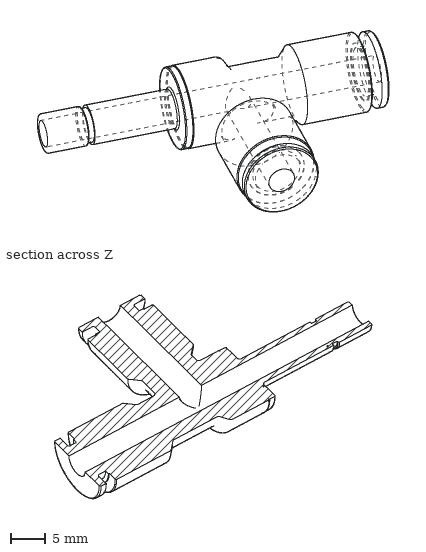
import cadquery as cq


port_reach = 22.2
flange_diameter = 11.5
flange_thickness = 1.15
flange_chamfer = 0.2
neck_diameter = 7.3
neck_fillet = 0.25
neck_end = 2.55
step_diameter = 8.7
step_end = 2.7
body_diameter = 12.0
body_chamfer = 0.15
body_end = 12.75
stem_diameter = 9.0
shoulder_fillet = 0.3
shoulder_top = port_reach - body_end
shoulder_bottom = shoulder_top - (body_diameter - stem_diameter) / 2
stem_end = shoulder_bottom - shoulder_fillet

collar_diameter = 12.5
collar_cone_top = -0.25
collar_cone_drop = 1.1
collar_rim_fillet = 0.7
collar_neck_fillet = 0.5
collar_bottom = -8.25
junction_fillet = 0.4
crease_margin = 0.25

cap_diameter = 12.4
cap_bottom = -9.5
cap_chamfer = 0.15

tube_diameter = 5.95
overall_length = 51.7
tube_tip = port_reach - overall_length
tube_tip_fillet = 0.25
tube_root_chamfer = 0.25
groove_diameter = 5.2
groove_top = -22.5
groove_bottom = -23.35
groove_chamfer = 0.15

bore_diameter = 4.0


def disc(diameter, low, high):
    """Solid cylinder on the Y axis between two heights."""
    return cq.Workplane("XZ", origin=(0, low, 0)).circle(diameter / 2).extrude(low - high)


def turned(points, rounds=()):
    """Solid of revolution about Y from (radius, height) points.

    Each entry of rounds is a (profile point, radius) pair that rounds that corner.
    """
    wire = cq.Wire.makePolygon([cq.Vector(*point) for point in points], close=True)
    profile = cq.Face.makeFromWires(wire)
    for point, radius in rounds:
        corner = [v for v in profile.Vertices() if v.Center() == cq.Vector(*point)]
        profile = profile.fillet2D(radius, corner)
    solid = cq.Solid.revolve(profile, 360, cq.Vector(0, 0, 0), cq.Vector(0, 1, 0))
    return cq.Workplane("XY").newObject([solid]).rotate((0, 0, 0), (0, 1, 0), 180)


def to_branch(shape):
    """Turn a shape lying along +Y so that it lies along +X."""
    return shape.rotate((0, 0, 0), (0, 0, 1), -90)


def make_port_head():
    """Body with its conical shoulder, plus the release-ring neck and flange."""
    body_radius = body_diameter / 2
    stem_radius = stem_diameter / 2
    body_top = port_reach - step_end
    shoulder_root = (stem_radius, shoulder_bottom)
    body = turned(
        [
            (0, stem_end),
            (stem_radius, stem_end),
            shoulder_root,
            (body_radius, shoulder_top),
            (body_radius, body_top),
            (0, body_top),
        ],
        [(shoulder_root, shoulder_fillet)],
    )
    body = body.faces(">Y").edges().chamfer(body_chamfer)
    step = disc(step_diameter, body_top, port_reach - neck_end)
    neck_radius = neck_diameter / 2
    flange_radius = flange_diameter / 2
    flange_bottom = port_reach - flange_thickness
    neck_corner = (neck_radius, flange_bottom)
    release_ring = turned(
        [
            (0, body_top),
            (neck_radius, body_top),
            neck_corner,
            (flange_radius, flange_bottom),
            (flange_radius, port_reach),
            (0, port_reach),
        ],
        [(neck_corner, neck_fillet)],
    )
    release_ring = release_ring.faces(">Y").edges().chamfer(flange_chamfer)
    return body.union(step).union(release_ring)


def make_collar():
    """Run stem and collar with a conical top, rounded at the rim and at the stem."""
    collar_radius = collar_diameter / 2
    stem_radius = stem_diameter / 2
    rim = (collar_radius, collar_cone_top - collar_cone_drop)
    stem_root = (stem_radius, collar_cone_top)
    return turned(
        [
            (0, collar_bottom),
            (collar_radius, collar_bottom),
            rim,
            stem_root,
            (stem_radius, stem_end),
            (0, stem_end),
        ],
        [(rim, collar_rim_fillet), (stem_root, collar_neck_fillet)],
    )


def make_junction():
    """Run stem with its collar, joined to the branch stem with small fillets."""
    branch_stem = to_branch(disc(stem_diameter, 0, stem_end))
    junction = make_collar().union(branch_stem)
    crease_box = cq.selectors.BoxSelector(
        (crease_margin, -stem_diameter / 2, -stem_diameter),
        (collar_diameter / 2 + crease_margin, stem_diameter / 2, stem_diameter),
    )
    return junction.edges(crease_box - cq.selectors.TypeSelector("LINE")).fillet(junction_fillet)


def make_cap():
    """Cap under the collar; the chamfered upper edge leaves a fine groove."""
    cap = disc(cap_diameter, cap_bottom, collar_bottom)
    return cap.faces("<Y or >Y").edges().chamfer(cap_chamfer)


def make_tube():
    """Plug-in tube with a retaining groove and a chamfered root."""
    tube_radius = tube_diameter / 2
    groove_radius = groove_diameter / 2
    tube = turned([
        (0, tube_tip),
        (tube_radius, tube_tip),
        (tube_radius, groove_bottom - groove_chamfer),
        (tube_radius - groove_chamfer, groove_bottom),
        (groove_radius, groove_bottom),
        (groove_radius, groove_top),
        (tube_radius, groove_top),
        (tube_radius, cap_bottom - tube_root_chamfer),
        (tube_radius + tube_root_chamfer, cap_bottom),
        (0, cap_bottom),
    ])
    return tube.faces("<Y").edges().fillet(tube_tip_fillet)


port_head = make_port_head()
result = make_junction().union(port_head).union(to_branch(port_head))
result = result.union(make_cap()).union(make_tube())

result = result.cut(disc(bore_diameter, tube_tip, port_reach))
result = result.cut(to_branch(disc(bore_diameter, 0, port_reach)))